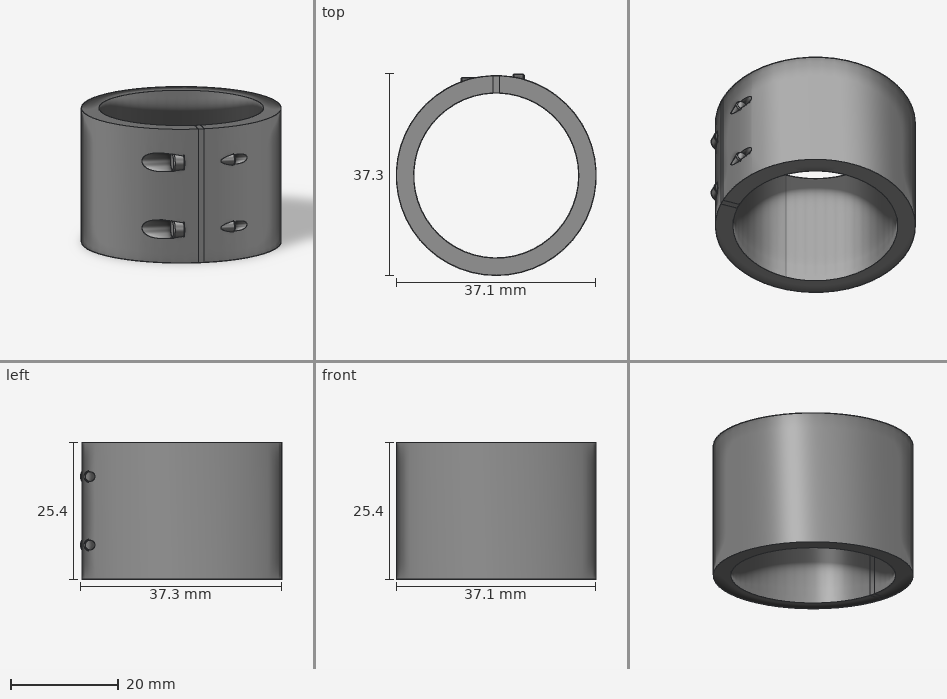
import cadquery as cq

RING_DIAMETER = 37.08
RING_RADIUS = RING_DIAMETER / 2
BORE_RADIUS = 15.27
RING_HEIGHT = 25.4

SLIT_WIDTH = 1.12

SCREW_Y = 17.03
SCREW_HEIGHTS = (-RING_HEIGHT / 4, RING_HEIGHT / 4)
SHANK_RADIUS = 1.12
SHANK_TIP_X = -6.57
TIP_CHAMFER = 0.22
TAP_HOLE_RADIUS = SHANK_RADIUS - TIP_CHAMFER
HEAD_PROTRUSION = 0.25
HEAD_SEAT_X = 3.15
HEAD_LENGTH = 2.1
HEAD_CHAMFER = 0.25
SEAT_CHAMFER = 0.15

HEAD_RADIUS = RING_RADIUS + HEAD_PROTRUSION - SCREW_Y
HEAD_END_X = HEAD_SEAT_X + HEAD_LENGTH


def x_cylinder(radius, start_x, end_x, z):
    """Cylinder on a screw axis, from start_x to end_x."""
    return (
        cq.Workplane("YZ", origin=(start_x, 0, 0))
        .center(SCREW_Y, z)
        .circle(radius)
        .extrude(end_x - start_x)
    )


def make_screw(z):
    """Cap screw with its head towards +X, chamfered at the tip and at both ends of the head."""
    shank = x_cylinder(SHANK_RADIUS, SHANK_TIP_X, HEAD_SEAT_X, z).faces("<X").chamfer(TIP_CHAMFER)
    head = x_cylinder(HEAD_RADIUS, HEAD_SEAT_X, HEAD_END_X, z)
    head = head.faces(">X").chamfer(HEAD_CHAMFER)
    head = head.faces("<X").chamfer(SEAT_CHAMFER)
    return shank.union(head)


def cut_screw_seat(body, z):
    """Open the narrow tap hole and the counterbore to the outside, then sink the screw's own shape."""
    tap_hole = x_cylinder(TAP_HOLE_RADIUS, -RING_RADIUS, HEAD_SEAT_X, z)
    counterbore = x_cylinder(HEAD_RADIUS, HEAD_SEAT_X, RING_RADIUS, z)
    return body.cut(tap_hole).cut(counterbore).cut(make_screw(z))


def make_tube():
    """Full tube, before the slit and the screw holes."""
    return (
        cq.Workplane("XY", origin=(0, 0, -RING_HEIGHT / 2))
        .circle(RING_RADIUS)
        .circle(BORE_RADIUS)
        .extrude(RING_HEIGHT)
    )


def make_slit():
    """Block that cuts the wall on the +Y side."""
    return cq.Workplane("XY").box(SLIT_WIDTH, RING_DIAMETER, RING_HEIGHT, centered=(True, False, True))


def make_ring():
    """Slit tube with the screw holes."""
    ring = make_tube().cut(make_slit())
    for z in SCREW_HEIGHTS:
        ring = cut_screw_seat(ring, z)
    return ring


def make_strip():
    """Strip that fills the slit, pierced by the screw shanks."""
    strip = make_tube().intersect(make_slit())
    for z in SCREW_HEIGHTS:
        strip = cut_screw_seat(strip, z)
    return strip


ring = make_ring()
strip = make_strip()
screws = [make_screw(z) for z in SCREW_HEIGHTS]

result = cq.Compound.makeCompound([ring.val(), strip.val(), *[screw.val() for screw in screws]])